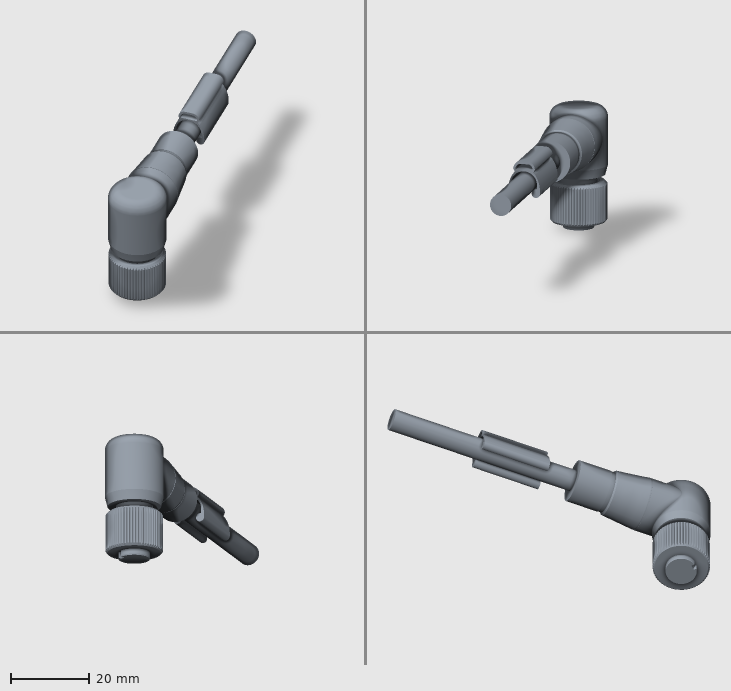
import cadquery as cq
import math


head_radius = 7.5
head_top = 32.0
head_top_fillet = 3.0
head_bottom = 14.0
head_bottom_radius = 6.85
head_taper_top = 16.5

cable_axis_z = 24.0
arm_radius = 7.0
arm_end = 10.8
arm_groove_width = 0.3
arm_groove_depth = 0.1
cone_end = 20.3
cone_end_radius = 6.0
cone_end_chamfer = 0.4
sleeve_radius = 5.5
sleeve_end = 30.0
sleeve_neck_end = 21.4
sleeve_neck_radius = 5.4
cable_radius = 2.8
cable_end = 80.0

clip_start = 38.0
clip_length = 18.0
clip_half_width = 4.2
clip_bore_radius = 3.4
clip_flank_top = 2.67
clip_flank_bottom = -1.5
clip_flank_top_half_width = 2.9
clip_bead_radius = 1.1
clip_bottom = -3.4
label_top = 5.9
label_half_width = 2.85
label_corner_radius = 1.9
label_waist_half_width = 2.45
label_waist_z = 3.2
label_wall = 0.6
label_floor = 3.75

neck_radius = 4.85
neck_relief_depth = 0.12
neck_relief_bottom = 12.8
neck_relief_edge_y = 0.8

nut_radius = 7.35
nut_bottom = 1.65
nut_top = 12.3
nut_bottom_radius = 6.85
nut_bottom_chamfer_height = 0.6
nut_top_radius = 6.6
nut_top_chamfer_height = 0.75
knurl_count = 60
knurl_depth = 0.35
knurl_groove_share = 0.5
nut_bore_radius = 5.5
nut_bore_depth = 1.0

insert_radius = 4.05
insert_chamfer_height = 0.3
insert_chamfer_width = 0.1
keyway_width = 1.4
keyway_depth = 0.7
keyway_mouth_depth = 1.0
keyway_mouth_height = 1.0
keyway_angle = 225.0


def cylinder_z(radius, bottom, top):
    return cq.Workplane("XY").workplane(offset=bottom).circle(radius).extrude(top - bottom)


def revolve_z(profile):
    """Turn a (radius, z) outline round the Z axis."""
    return cq.Workplane("XZ").polyline(profile).close().revolve(360, (0, 0), (0, 1))


def make_head():
    profile = [
        (0, head_bottom),
        (head_bottom_radius, head_bottom),
        (head_radius, head_taper_top),
        (head_radius, head_top),
        (0, head_top),
    ]
    return revolve_z(profile).faces(">Z").edges().fillet(head_top_fillet)


def make_arm_and_cable():
    """Turn the arm, cone, sleeve and cable round the cable axis in one outline."""
    groove_radius = arm_radius - arm_groove_depth
    cone_start = arm_end + arm_groove_width
    profile = [
        (0, 0),
        (arm_radius, 0),
        (arm_radius, arm_end),
        (groove_radius, arm_end),
        (groove_radius, cone_start),
        (arm_radius, cone_start),
        (cone_end_radius, cone_end - cone_end_chamfer),
        (cone_end_radius - cone_end_chamfer, cone_end),
        (sleeve_neck_radius, cone_end),
        (sleeve_neck_radius, sleeve_neck_end),
        (sleeve_radius, sleeve_neck_end),
        (sleeve_radius, sleeve_end),
        (cable_radius, sleeve_end),
        (cable_radius, cable_end),
        (0, cable_end),
    ]
    turned = cq.Workplane("XY").polyline(profile).close().revolve(360, (0, 0), (0, 1))
    return turned.translate((0, 0, cable_axis_z))


def polar(radius, angle):
    return (radius * math.cos(angle), radius * math.sin(angle))


def clip_plane():
    """Section plane at the head end of the clip: local x is X, local y is Z from the cable axis."""
    return cq.Workplane("XZ", origin=(0, clip_start, cable_axis_z))


def make_clip():
    """A C-shaped grip with beaded lips below, carrying a hollow label channel on top."""
    flank_rise = clip_flank_top - clip_flank_bottom
    flank_run = clip_half_width - clip_flank_top_half_width
    flank_radius = (flank_rise**2 + flank_run**2) / (2 * flank_run)
    flank_half_angle = math.asin(flank_rise / flank_radius) / 2
    flank_mid_x = clip_half_width - flank_radius * (1 - math.cos(flank_half_angle))
    flank_mid_z = clip_flank_bottom + flank_radius * math.sin(flank_half_angle)
    shoulder_z = label_top - label_corner_radius
    roof_half_width = label_half_width - label_corner_radius
    corner_mid_offset = label_corner_radius * math.sqrt(0.5)
    corner_mid_x = roof_half_width + corner_mid_offset
    corner_mid_z = shoulder_z + corner_mid_offset
    bead_x = clip_half_width - clip_bead_radius
    bead_z = clip_bottom + clip_bead_radius

    body = (
        clip_plane()
        .moveTo(0, bead_z)
        .lineTo(clip_half_width, bead_z)
        .lineTo(clip_half_width, clip_flank_bottom)
        .threePointArc((flank_mid_x, flank_mid_z), (clip_flank_top_half_width, clip_flank_top))
        .lineTo(label_waist_half_width, label_waist_z)
        .lineTo(label_half_width, shoulder_z)
        .threePointArc((corner_mid_x, corner_mid_z), (roof_half_width, label_top))
        .lineTo(0, label_top)
        .mirrorY()
        .extrude(-clip_length)
    )
    channel_height = label_top - label_wall - label_floor
    channel = (
        clip_plane()
        .center(0, label_floor + channel_height / 2)
        .rect(2 * (label_half_width - label_wall), channel_height)
        .extrude(-clip_length)
        .edges("|Y and >Z")
        .fillet(label_corner_radius - label_wall)
    )
    bore = clip_plane().circle(clip_bore_radius).extrude(-clip_length)
    mouth = (
        clip_plane()
        .center(0, bead_z / 2)
        .rect(2 * clip_bore_radius, -bead_z)
        .extrude(-clip_length)
    )
    beads = (
        clip_plane()
        .pushPoints([(-bead_x, bead_z), (bead_x, bead_z)])
        .circle(clip_bead_radius)
        .extrude(-clip_length)
    )
    return body.cut(channel).cut(bore).cut(mouth).union(beads)


def make_neck():
    """Neck with a shallow relief round its front part, leaving a low collar at the foot."""
    neck = cylinder_z(neck_radius, nut_top - nut_bore_depth, head_bottom)
    relief_ring = cylinder_z(neck_radius, neck_relief_bottom, head_bottom).cut(
        cylinder_z(neck_radius - neck_relief_depth, neck_relief_bottom, head_bottom)
    )
    front_region = (
        cq.Workplane("XY")
        .workplane(offset=neck_relief_bottom)
        .center(0, neck_relief_edge_y - neck_radius)
        .rect(2 * neck_radius, 2 * neck_radius)
        .extrude(head_bottom - neck_relief_bottom)
    )
    return neck.cut(relief_ring.intersect(front_region))


def make_nut():
    """Nut with V-grooves round its rim, coned at both ends and bored clear of the neck on top."""
    blank = revolve_z(
        [
            (0, nut_bottom),
            (nut_bottom_radius, nut_bottom),
            (nut_radius, nut_bottom + nut_bottom_chamfer_height),
            (nut_radius, nut_top - nut_top_chamfer_height),
            (nut_top_radius, nut_top),
            (0, nut_top),
        ]
    )
    pitch = 2 * math.pi / knurl_count
    half_groove = pitch * knurl_groove_share / 2
    valley_radius = nut_radius - knurl_depth
    rim = []
    for index in range(knurl_count):
        groove_angle = index * pitch
        rim.append(polar(nut_radius, groove_angle - half_groove))
        rim.append(polar(valley_radius, groove_angle))
        rim.append(polar(nut_radius, groove_angle + half_groove))
    toothed_bar = (
        cq.Workplane("XY").workplane(offset=nut_bottom).polyline(rim).close().extrude(nut_top - nut_bottom)
    )
    bore = cylinder_z(nut_bore_radius, nut_top - nut_bore_depth, nut_top)
    return toothed_bar.intersect(blank).cut(bore)


def keyway_block(depth, height):
    return (
        cq.Workplane("XY")
        .center(insert_radius, 0)
        .rect(2 * depth, keyway_width)
        .extrude(height)
        .rotate((0, 0, 0), (0, 0, 1), keyway_angle)
    )


def make_insert():
    """Round socket insert with a keyway down its side, deeper at the mouth."""
    insert = revolve_z(
        [
            (0, 0),
            (insert_radius - insert_chamfer_width, 0),
            (insert_radius, insert_chamfer_height),
            (insert_radius, nut_bottom),
            (0, nut_bottom),
        ]
    )
    keyway = keyway_block(keyway_depth, nut_bottom)
    keyway_mouth = keyway_block(keyway_mouth_depth, keyway_mouth_height)
    return insert.cut(keyway).cut(keyway_mouth)


result = (
    make_head()
    .union(make_arm_and_cable())
    .union(make_clip())
    .union(make_neck())
    .union(make_nut())
    .union(make_insert())
)